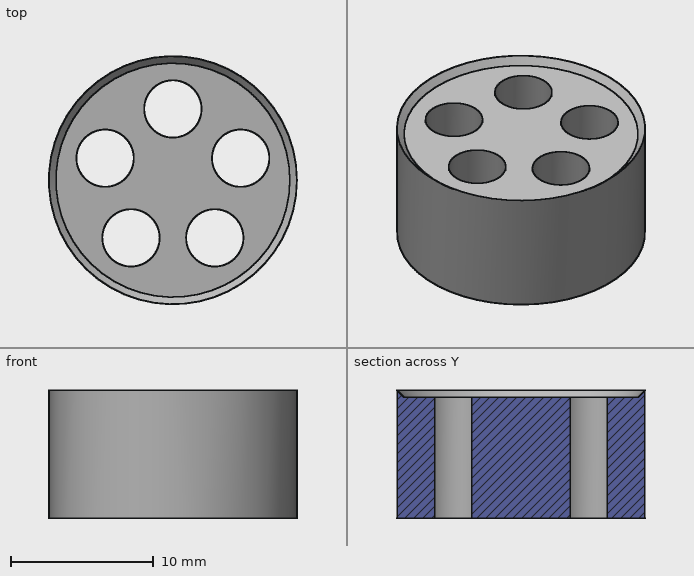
import cadquery as cq

body_diameter = 17.4
body_height = 9.0

dish_depth = 0.5
dish_floor_diameter = body_diameter - 2 * dish_depth

hole_count = 5
hole_diameter = 4.0
hole_circle_radius = 5.0
first_hole_angle = 90.0


def make_dished_body():
    """Revolve the body profile, leaving a sharp rim around the dish."""
    return (
        cq.Workplane("XZ")
        .moveTo(0, 0)
        .lineTo(body_diameter / 2, 0)
        .lineTo(body_diameter / 2, body_height)
        .lineTo(dish_floor_diameter / 2, body_height - dish_depth)
        .lineTo(0, body_height - dish_depth)
        .close()
        .revolve(360, (0, 0, 0), (0, 1, 0))
    )


def make_hole_cutters():
    """Cylinders evenly spaced around the Z axis, as tall as the body."""
    return (
        cq.Workplane("XY")
        .polarArray(hole_circle_radius, first_hole_angle, 360, hole_count)
        .circle(hole_diameter / 2)
        .extrude(body_height)
    )


result = make_dished_body().cut(make_hole_cutters())